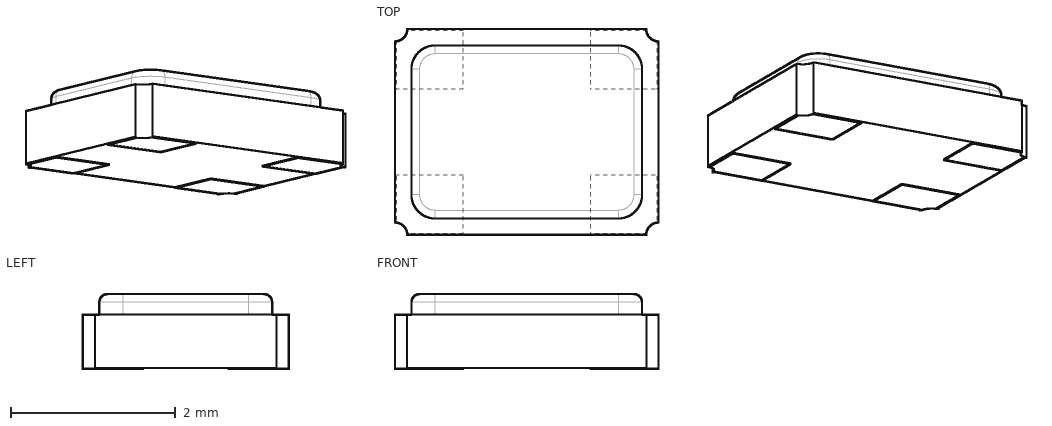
import cadquery as cq

body_length = 3.2
body_width = 2.5
body_height = 0.65
castellation_radius = 0.15
plating_thickness = 0.017

lid_margin = 0.2
lid_length = body_length - 2 * lid_margin
lid_width = body_width - 2 * lid_margin
lid_height = 0.25
lid_corner_radius = 0.2885
lid_edge_fillet = 0.1

pad_inset = 0.02
pad_reach_x = 0.825
pad_reach_y = 0.73
pad_thickness = 0.01

body_top = pad_thickness + body_height


def corner_points():
    """Workplane at Z = 0 holding the four corners of the body outline."""
    return cq.Workplane("XY").rect(body_length, body_width, forConstruction=True).vertices()


def make_block(bottom, height):
    """Full body outline extruded upward from the given level."""
    return cq.Workplane("XY").workplane(offset=bottom).rect(body_length, body_width).extrude(height)


def make_pads():
    """Four thin pads, each set in slightly from two outer sides of the body."""
    pad_length = pad_reach_x - pad_inset
    pad_width = pad_reach_y - pad_inset
    spacing_x = body_length - pad_reach_x - pad_inset
    spacing_y = body_width - pad_reach_y - pad_inset
    return (
        cq.Workplane("XY")
        .rect(spacing_x, spacing_y, forConstruction=True)
        .vertices()
        .rect(pad_length, pad_width)
        .extrude(pad_thickness)
    )


def make_corner_plating():
    """Thin plating around each corner notch, carried down to the pad underside."""
    plating = corner_points().circle(castellation_radius + plating_thickness).extrude(body_top)
    return plating.intersect(make_block(0, body_top))


def make_castellations():
    """Quarter-round notches down the four corners, through body and pads."""
    return corner_points().circle(castellation_radius).extrude(body_top)


def make_lid():
    """Raised lid with rounded corners and a rounded top edge."""
    return (
        cq.Workplane("XY")
        .workplane(offset=body_top)
        .rect(lid_length, lid_width)
        .extrude(lid_height)
        .edges("|Z")
        .fillet(lid_corner_radius)
        .faces(">Z")
        .edges()
        .fillet(lid_edge_fillet)
    )


base = make_block(pad_thickness, body_height).union(make_pads()).union(make_corner_plating())
result = base.cut(make_castellations()).union(make_lid()).clean()